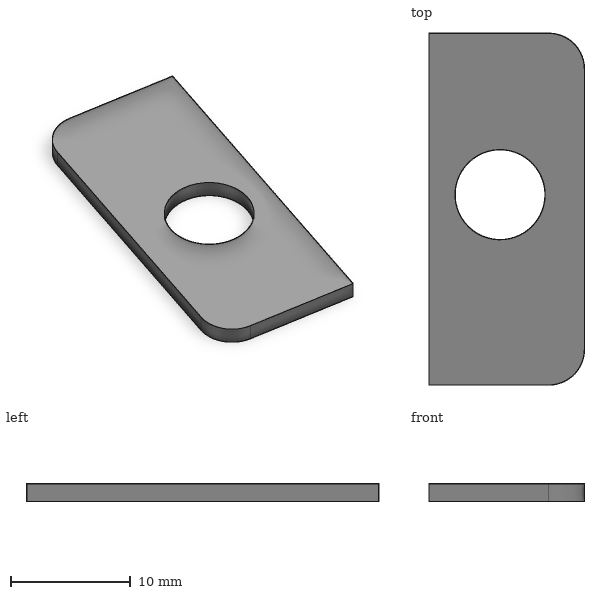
import cadquery as cq

width = 13.0
length = 29.4
thickness = 1.5
corner_radius = 3.0

hole_diameter = 7.5
hole_from_square_edge = 5.95
hole_from_far_end = 13.5

plate = cq.Workplane("XY").box(width, length, thickness, centered=(False, True, False))

plate = plate.faces(">X").edges("|Z").fillet(corner_radius)

hole = (
    cq.Workplane("XY")
    .center(hole_from_square_edge, length / 2 - hole_from_far_end)
    .circle(hole_diameter / 2)
    .extrude(thickness)
)

result = plate.cut(hole)